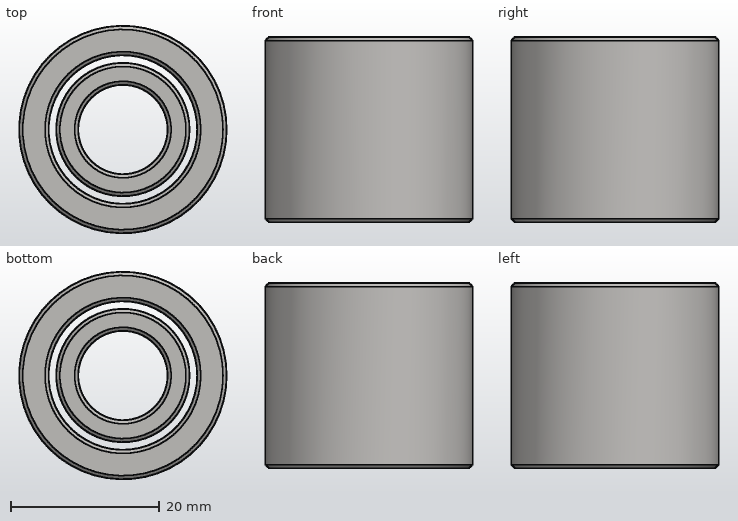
import cadquery as cq

OUTER_SLEEVE_DIAMETER = 28.0
OUTER_SLEEVE_BORE = 20.0
OUTER_SLEEVE_HEIGHT = 25.0
INNER_SLEEVE_DIAMETER = 18.0
INNER_SLEEVE_BORE = 12.0
INNER_SLEEVE_HEIGHT = 16.0
EDGE_CHAMFER = 0.5


def make_sleeve(diameter, bore, height):
    """Plain sleeve standing on the XY plane, with all four rim edges chamfered."""
    sleeve = cq.Workplane("XY").circle(diameter / 2).circle(bore / 2).extrude(height)
    return sleeve.faces("<Z or >Z").edges().chamfer(EDGE_CHAMFER)


outer_sleeve = make_sleeve(OUTER_SLEEVE_DIAMETER, OUTER_SLEEVE_BORE, OUTER_SLEEVE_HEIGHT)

inner_sleeve = make_sleeve(INNER_SLEEVE_DIAMETER, INNER_SLEEVE_BORE, INNER_SLEEVE_HEIGHT)

result = cq.Compound.makeCompound([outer_sleeve.val(), inner_sleeve.val()])